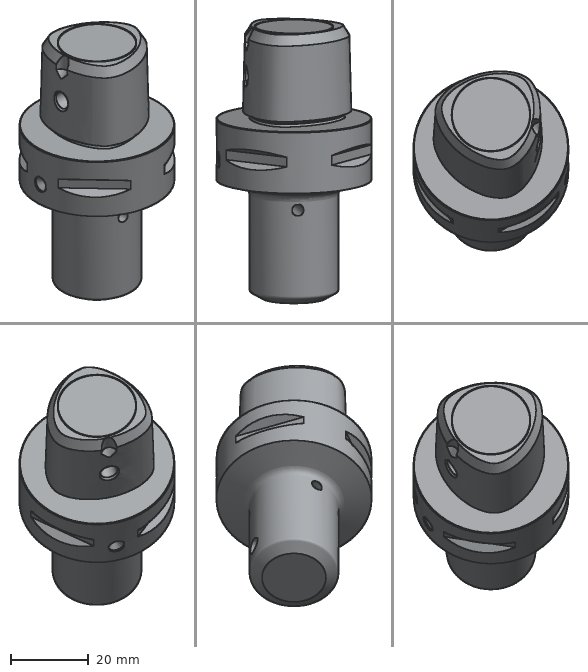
import cadquery as cq
import math

total_height = 71.0
flange_top = 47.0
flange_edge = 30.95

shank_radius = 11.5
shank_chamfer_width = 3.3
shank_chamfer_angle = 30.0
shank_edge_round = 0.85
flange_diameter = 40.0
flange_radius = flange_diameter / 2
flange_cone_angle = 15.0
flange_neck_fillet = 2.0
flange_rim_chamfer = 0.2

lobe_height = 1.0
taper_base_radius = 14.0
taper_slope = 0.025
taper_base = 48.7
taper_top = 68.4
taper_top_radius = taper_base_radius - taper_slope * (taper_top - taper_base)
nose_radius = 11.85
groove_radius = 12.1
groove_top = 47.85
groove_bottom = 47.65
groove_foot_radius = 12.35
points_per_segment = 7

ring_inner_diameter = 20.0
ring_width = 0.15
ring_depth = 0.15

slot_count = 4
slot_height = 39.1
slot_floor_width = 2.5
slot_floor_distance = 17.7
slot_side_angle = 30.0

drill_diameter = 4.2
nose_notch_offset = 12.85
nose_notch_bottom = 66.9
dimple_height = 36.85
dimple_straight_depth = 0.5
taper_hole_height = 58.6
taper_hole_diameter = 4.55
taper_hole_depth = 7.1
taper_hole_mouth_diameter = 5.55
cross_hole_diameter = 3.0
cross_hole_height = 25.0
cross_hole_offset = -1.35
screw_hole_height = 7.1
screw_hole_diameter = 4.5
screw_hole_depth = 3.55

cut_clearance = 0.7


def make_body():
    """Shank and flange turned about Z."""
    chamfer_rise = shank_chamfer_width * math.tan(math.radians(shank_chamfer_angle))
    cone_drop = (flange_radius - shank_radius) * math.tan(math.radians(flange_cone_angle))
    neck_height = flange_edge - cone_drop
    body = (
        cq.Workplane("XZ")
        .moveTo(0, 0)
        .lineTo(shank_radius - shank_chamfer_width, 0)
        .lineTo(shank_radius, chamfer_rise)
        .lineTo(shank_radius, neck_height)
        .lineTo(flange_radius, flange_edge)
        .lineTo(flange_radius, flange_top)
        .lineTo(0, flange_top)
        .close()
        .revolve(360, (0, 0, 0), (0, 1, 0))
    )
    body = edge_circle(body, neck_height).fillet(flange_neck_fillet)
    body = edge_circle(body, chamfer_rise).fillet(shank_edge_round)
    return body.faces(">Z").edges().chamfer(flange_rim_chamfer)


def edge_circle(body, height):
    """Circular edge of the shank at the given height."""
    reach = shank_radius + 0.1
    margin = 0.1
    low_corner = (-reach, -reach, height - margin)
    high_corner = (reach, reach, height + margin)
    box = cq.selectors.BoxSelector(low_corner, high_corner)
    return body.edges("%CIRCLE").edges(box)


def lobed_point(mean_radius, angle, height):
    """Point whose outward normal has this angle; the support is mean - lobe * sin(3 * angle)."""
    support = mean_radius - lobe_height * math.sin(3 * angle)
    slope = -3 * lobe_height * math.cos(3 * angle)
    x = support * math.cos(angle) - slope * math.sin(angle)
    y = support * math.sin(angle) + slope * math.cos(angle)
    return cq.Vector(x, y, height)


def lobed_wire(mean_radius, height):
    """Closed outline made of three lobes and three flatter sides, tangent to each other."""
    segment_count = 6
    sweep = 2 * math.pi / segment_count
    edges = []
    for segment in range(segment_count):
        start = segment * sweep
        angles = [start + sweep * i / (points_per_segment - 1) for i in range(points_per_segment)]
        points = [lobed_point(mean_radius, angle, height) for angle in angles]
        tangents = [cq.Vector(-math.sin(a), math.cos(a), 0) for a in (angles[0], angles[-1])]
        edges.append(cq.Edge.makeSpline(points, tangents=tangents))
    return cq.Wire.assembleEdges(edges)


def make_taper():
    """Relief groove, tapered shaft and chamfered nose, stacked from lobed sections."""
    sections = [
        (groove_foot_radius, flange_top),
        (groove_radius, groove_bottom),
        (groove_radius, groove_top),
        (taper_base_radius, taper_base),
        (taper_top_radius, taper_top),
        (nose_radius, total_height),
    ]
    wires = [lobed_wire(radius, height) for radius, height in sections]
    return cq.Workplane(cq.Solid.makeLoft(wires, True))


def make_slot_cutter():
    """Bar with sloping sides, lying across the +X side of the flange."""
    outer_distance = flange_radius + cut_clearance
    half_floor = slot_floor_width / 2
    side_rise = (outer_distance - slot_floor_distance) * math.tan(math.radians(slot_side_angle))
    half_mouth = half_floor + side_rise
    return (
        cq.Workplane("XZ")
        .polyline([
            (slot_floor_distance, slot_height - half_floor),
            (outer_distance, slot_height - half_mouth),
            (outer_distance, slot_height + half_mouth),
            (slot_floor_distance, slot_height + half_floor),
        ])
        .close()
        .extrude(flange_radius, both=True)
    )


def cylinder(diameter, length, start, direction):
    return cq.Workplane(
        cq.Solid.makeCylinder(diameter / 2, length, cq.Vector(*start), cq.Vector(*direction))
    )


def cone(start_diameter, end_diameter, length, start, direction):
    return cq.Workplane(
        cq.Solid.makeCone(
            start_diameter / 2, end_diameter / 2, length, cq.Vector(*start), cq.Vector(*direction)
        )
    )


def make_nose_notch():
    """Vertical drill with a 90 degree point, breaking out of the -Y side of the nose."""
    start = (0, -nose_notch_offset, nose_notch_bottom)
    shaft = cylinder(drill_diameter, total_height - nose_notch_bottom, start, (0, 0, 1))
    return shaft.union(cone(drill_diameter, 0, drill_diameter / 2, start, (0, 0, -1)))


def make_flange_dimple():
    """Short radial drill with a 90 degree point in the -Y side of the flange."""
    inward = (0, 1, 0)
    shaft = cylinder(drill_diameter, dimple_straight_depth, (0, -flange_radius, dimple_height), inward)
    point_start = (0, -flange_radius + dimple_straight_depth, dimple_height)
    return shaft.union(cone(drill_diameter, 0, drill_diameter / 2, point_start, inward))


def make_taper_hole():
    """Blind radial hole with a chamfered mouth in the -Y side of the taper."""
    inward = (0, 1, 0)
    mean_radius = taper_base_radius - taper_slope * (taper_hole_height - taper_base)
    mouth_y = lobe_height - mean_radius
    mouth_chamfer = (taper_hole_mouth_diameter - taper_hole_diameter) / 2
    outer = (0, mouth_y - cut_clearance, taper_hole_height)
    hole = cylinder(taper_hole_diameter, taper_hole_depth + cut_clearance, outer, inward)
    outer_diameter = taper_hole_mouth_diameter + 2 * cut_clearance
    chamfer_length = cut_clearance + mouth_chamfer
    return hole.union(cone(outer_diameter, taper_hole_diameter, chamfer_length, outer, inward))


def make_cross_hole():
    """Hole through the shank along X, slightly off the axis."""
    start = (-shank_radius, cross_hole_offset, cross_hole_height)
    return cylinder(cross_hole_diameter, 2 * shank_radius, start, (1, 0, 0))


def make_screw_hole():
    """Blind radial hole in the +Y side of the shank."""
    return cylinder(screw_hole_diameter, screw_hole_depth, (0, shank_radius, screw_hole_height), (0, -1, 0))


def make_top_ring():
    start = (0, 0, total_height)
    down = (0, 0, -1)
    outer = cylinder(ring_inner_diameter + 2 * ring_width, ring_depth, start, down)
    return outer.cut(cylinder(ring_inner_diameter, ring_depth, start, down))


result = make_body().union(make_taper())
slot_pitch = 360 / slot_count
for slot in range(slot_count):
    slot_angle = slot_pitch * (slot + 0.5)
    result = result.cut(make_slot_cutter().rotate((0, 0, 0), (0, 0, 1), slot_angle))

result = result.cut(make_nose_notch())
result = result.cut(make_flange_dimple())
result = result.cut(make_taper_hole())
result = result.cut(make_cross_hole())
result = result.cut(make_screw_hole())
result = result.cut(make_top_ring())